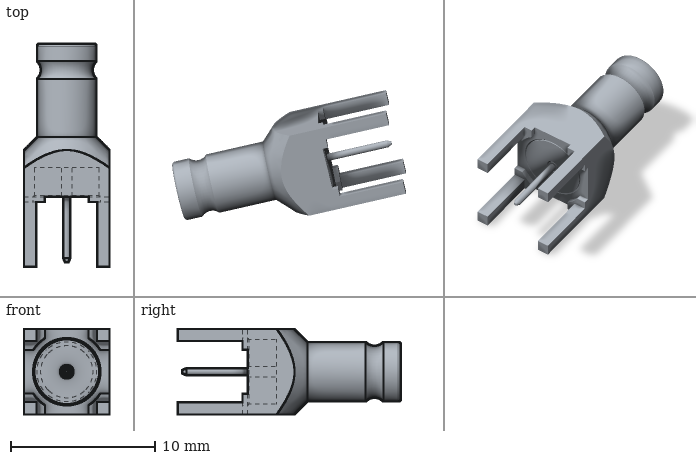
import cadquery as cq

LENGTH = 15.5
BLOCK_SIDE = 5.94
HALF_SIDE = BLOCK_SIDE / 2

LEG_SIDE = 0.85
PAD_SIDE = 1.45
PAD_FLOOR_Y = 4.5
BLOCK_FLOOR_Y = 4.87
PAD_ARC_RADIUS = 2.77

BARREL_RADIUS = 4.15 / 2
BARREL_ROOT_Y = 9.0
TAPER_RADIUS = 4.34
RIM_FILLET = 0.2
GROOVE_START_Y = 13.05
GROOVE_END_Y = 14.28
GROOVE_DEPTH = 0.26

EDGE_CHAMFER = 0.1
INSULATOR_RADIUS = 4.5 / 2
INSULATOR_LENGTH = 2.02
INSULATOR_FACE_Y = BLOCK_FLOOR_Y
PIN_SEAT_RADIUS = 0.76 / 2
PIN_SEAT_Y = INSULATOR_FACE_Y
PIN_TAIL_RADIUS = 0.5 / 2
PIN_TIP_RADIUS = 0.11
PIN_TIP_Y = 0.31
PIN_TIP_LENGTH = 0.3
INSULATOR_END_Y = INSULATOR_FACE_Y + INSULATOR_LENGTH


def spin(profile):
    """Revolve an XY profile about the Y axis."""
    return profile.close().revolve(360, (0, 0, 0), (0, 1, 0))


def cylinder(radius, start_y, end_y):
    return spin(
        cq.Workplane("XY").moveTo(0, start_y).lineTo(radius, start_y).lineTo(radius, end_y).lineTo(0, end_y)
    )


def chamfered_bore(radius, mouth_y, end_y):
    """Cutter for a bore whose mouth has a 45 degree chamfer."""
    return spin(
        cq.Workplane("XY")
        .moveTo(0, mouth_y)
        .lineTo(radius + EDGE_CHAMFER, mouth_y)
        .lineTo(radius, mouth_y + EDGE_CHAMFER)
        .lineTo(radius, end_y)
        .lineTo(0, end_y)
    )


def square_bar(side, start_y, end_y):
    """Square bar centred on the axis."""
    return cq.Workplane("XY").box(side, end_y - start_y, side).translate((0, (start_y + end_y) / 2, 0))


def corner_bars(side, start_y, end_y):
    """Four square bars flush with the corners of the block."""
    bars = cq.Workplane("XY")
    offset = HALF_SIDE - side / 2
    for x_sign in (-1, 1):
        for z_sign in (-1, 1):
            bar = square_bar(side, start_y, end_y)
            bars = bars.add(bar.translate((x_sign * offset, 0, z_sign * offset)))
    return bars.combine()


def make_tapered_barrel():
    """Barrel and 45 degree cone, solid down to the floor of the block."""
    groove_mid_y = (GROOVE_START_Y + GROOVE_END_Y) / 2
    return spin(
        cq.Workplane("XY")
        .moveTo(0, BLOCK_FLOOR_Y)
        .lineTo(TAPER_RADIUS, BLOCK_FLOOR_Y)
        .lineTo(TAPER_RADIUS, BARREL_ROOT_Y - (TAPER_RADIUS - BARREL_RADIUS))
        .lineTo(BARREL_RADIUS, BARREL_ROOT_Y)
        .lineTo(BARREL_RADIUS, GROOVE_START_Y)
        .threePointArc((BARREL_RADIUS - GROOVE_DEPTH, groove_mid_y), (BARREL_RADIUS, GROOVE_END_Y))
        .lineTo(BARREL_RADIUS, LENGTH - RIM_FILLET)
        .radiusArc((BARREL_RADIUS - RIM_FILLET, LENGTH), -RIM_FILLET)
        .lineTo(0, LENGTH)
    )


def make_housing():
    housing = make_tapered_barrel().intersect(square_bar(BLOCK_SIDE, BLOCK_FLOOR_Y, LENGTH))
    pads = corner_bars(PAD_SIDE, PAD_FLOOR_Y, BLOCK_FLOOR_Y)
    pads = pads.cut(cylinder(PAD_ARC_RADIUS, PAD_FLOOR_Y, BLOCK_FLOOR_Y))
    legs = corner_bars(LEG_SIDE, 0, BLOCK_FLOOR_Y)
    housing = housing.union(pads).union(legs)
    return housing.cut(chamfered_bore(INSULATOR_RADIUS, BLOCK_FLOOR_Y, INSULATOR_END_Y))


def make_insulator():
    disc = cylinder(INSULATOR_RADIUS, INSULATOR_FACE_Y, INSULATOR_END_Y)
    return disc.cut(chamfered_bore(PIN_SEAT_RADIUS, INSULATOR_FACE_Y, INSULATOR_END_Y))


def make_pin():
    """Pin with a thicker seat in the insulator and a tapered tip."""
    return spin(
        cq.Workplane("XY")
        .moveTo(0, PIN_TIP_Y)
        .lineTo(PIN_TIP_RADIUS, PIN_TIP_Y)
        .lineTo(PIN_TAIL_RADIUS, PIN_TIP_Y + PIN_TIP_LENGTH)
        .lineTo(PIN_TAIL_RADIUS, PIN_SEAT_Y)
        .lineTo(PIN_SEAT_RADIUS, PIN_SEAT_Y)
        .lineTo(PIN_SEAT_RADIUS, INSULATOR_END_Y)
        .lineTo(0, INSULATOR_END_Y)
    )


housing = make_housing()
insulator = make_insulator()
pin = make_pin()

result = cq.Compound.makeCompound([
    housing.val(),
    insulator.val(),
    pin.val(),
])